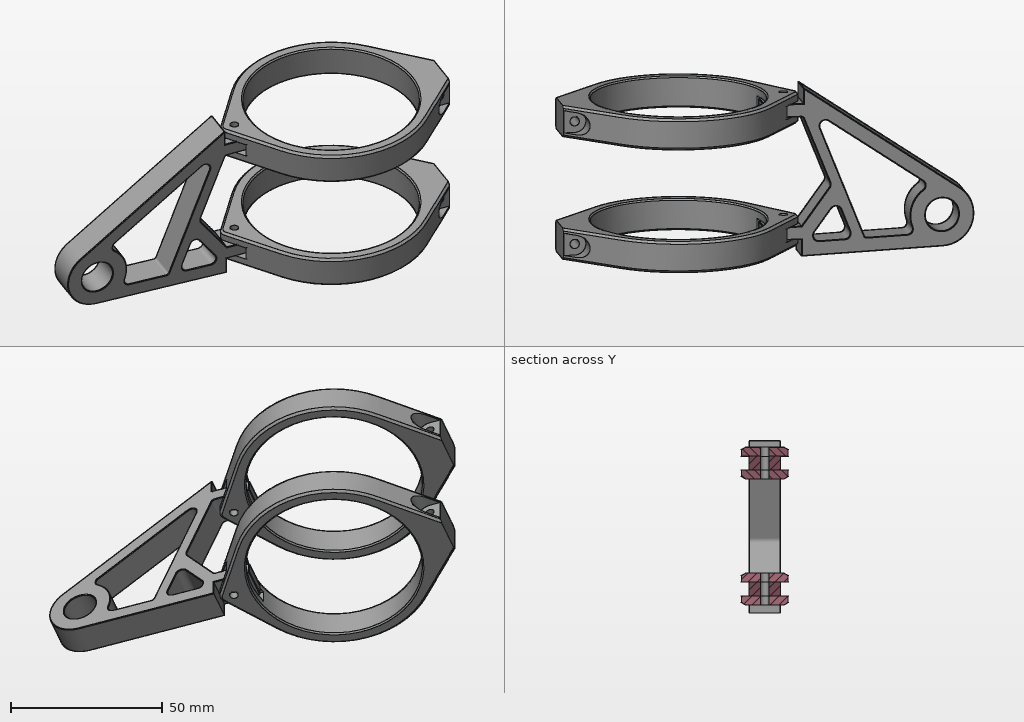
import cadquery as cq
import math

RING_SPACING = 41.6
RING_HEIGHT = 10.6
RING_OUTER_R = 33.35
RING_BORE_R = 29.15
RIM_CHAMFER = 0.8
BORE_CHAMFER = 0.5
TAB_END_Y = 40.0
TAB_END_HALF_WIDTH = 6.8
TAB_ROOT_Y = 24.3
NOSE_SLOPE = math.radians(35)
NOSE_R = 2.8

BOLT_HOLE_D = 3.1
BOLT_Y = 36.2
SPOTFACE_R = 3.75
SPOTFACE_X = 7.0

PIN_HOLE_D = 2.8
PIN_Y = -35.3
SLOT_WIDTH = 16.5
TONGUE_HEIGHT = 4.5
TONGUE_END_Y = -27.9

ARM_WIDTH = 10.5
ARM_EDGE_CHAMFER = 0.25
EYE = (-87.62, 4.2)
EYE_R = 10.75
EYE_HOLE_D = 11.2
ARM_TOP = (-41.1, 49.12)
ARM_BOTTOM = (-40.5, -7.95)
BRACE_ROOT = (-40.9, RING_SPACING - TONGUE_HEIGHT / 2)
STRUT_ROOT = (-40.4, TONGUE_HEIGHT / 2)
ELBOW = (-50.3, 15.8)
BAR_THICKNESS = 4.8
BRACE_THICKNESS = 3.85
STRUT_THICKNESS = 4.8
ELBOW_FILLET = 1.8
ROOT_FILLET = 1.0
WINDOW_FILLET = 1.9
EYE_SIDE_FILLET = 1.8
HEEL_FILLET = 1.0


def tangent_point(point, center, radius, side):
    """Where a line from point touches a circle; side +1 or -1 picks one of the two tangents."""
    dx = point[0] - center[0]
    dy = point[1] - center[1]
    angle = math.atan2(dy, dx) + side * math.acos(radius / math.hypot(dx, dy))
    return (center[0] + radius * math.cos(angle), center[1] + radius * math.sin(angle))


def offset_line(start, end, distance):
    """The line from start to end, moved to its left by distance."""
    length = math.dist(start, end)
    shift_x = -(end[1] - start[1]) / length * distance
    shift_y = (end[0] - start[0]) / length * distance
    return ((start[0] + shift_x, start[1] + shift_y), (end[0] + shift_x, end[1] + shift_y))


def crossing(first, second):
    """Point where two lines, each given by two points, cross."""
    (ax, ay), (bx, by) = first
    (cx, cy), (dx, dy) = second
    ux, uy = bx - ax, by - ay
    vx, vy = dx - cx, dy - cy
    along = ((cx - ax) * vy - (cy - ay) * vx) / (ux * vy - uy * vx)
    return (ax + along * ux, ay + along * uy)



def ring_blank():
    """Solid teardrop: flat-ended tab at +Y, round sides, blunt nose at -Y."""
    tab_root_x = math.sqrt(RING_OUTER_R**2 - TAB_ROOT_Y**2)
    nose_x = RING_OUTER_R * math.sin(NOSE_SLOPE)
    nose_y = -RING_OUTER_R * math.cos(NOSE_SLOPE)
    tip_center_y = -(RING_OUTER_R - NOSE_R) / math.cos(NOSE_SLOPE)
    tip_x = NOSE_R * math.sin(NOSE_SLOPE)
    tip_y = tip_center_y - NOSE_R * math.cos(NOSE_SLOPE)
    blank = (
        cq.Workplane("XY")
        .moveTo(-TAB_END_HALF_WIDTH, TAB_END_Y)
        .lineTo(TAB_END_HALF_WIDTH, TAB_END_Y)
        .lineTo(tab_root_x, TAB_ROOT_Y)
        .threePointArc((RING_OUTER_R, 0), (nose_x, nose_y))
        .lineTo(tip_x, tip_y)
        .threePointArc((0, tip_center_y - NOSE_R), (-tip_x, tip_y))
        .lineTo(-nose_x, nose_y)
        .threePointArc((-RING_OUTER_R, 0), (-tab_root_x, TAB_ROOT_Y))
        .close()
        .extrude(RING_HEIGHT / 2, both=True)
    )
    rims = blank.faces("|Z").edges().filter(lambda edge: edge.Center().y < TAB_END_Y - RIM_CHAMFER)
    return rims.chamfer(RIM_CHAMFER)


def ring_bore():
    """Bore cutter, flared at both ends."""
    half = RING_HEIGHT / 2
    flare_r = RING_BORE_R + BORE_CHAMFER
    return (
        cq.Workplane("XZ")
        .polyline([
            (0, -half),
            (flare_r, -half),
            (RING_BORE_R, BORE_CHAMFER - half),
            (RING_BORE_R, half - BORE_CHAMFER),
            (flare_r, half),
            (0, half),
        ])
        .close()
        .revolve(360, (0, 0), (0, 1))
    )


def bolt_cutter():
    """Bolt hole with a spotface, open toward the tab end, in each flank."""
    cutter = cq.Workplane("YZ").center(BOLT_Y, 0).circle(BOLT_HOLE_D / 2).extrude(RING_OUTER_R, both=True)
    for side in (-1, 1):
        spotface = (
            cq.Workplane("YZ", origin=(side * SPOTFACE_X, BOLT_Y, 0))
            .moveTo(SPOTFACE_R * 2, -SPOTFACE_R)
            .lineTo(0, -SPOTFACE_R)
            .threePointArc((-SPOTFACE_R, 0), (0, SPOTFACE_R))
            .lineTo(SPOTFACE_R * 2, SPOTFACE_R)
            .close()
            .extrude(side * RING_OUTER_R)
        )
        cutter = cutter.union(spotface)
    return cutter


def pin_hole(z):
    return (
        cq.Workplane("XY", origin=(0, PIN_Y, z))
        .circle(PIN_HOLE_D / 2)
        .extrude(RING_HEIGHT / 2, both=True)
    )


def tongue_slot():
    """Slot through the nose, from outside into the bore, wider than the bracket tongue."""
    return (
        cq.Workplane("XY")
        .box(SLOT_WIDTH, RING_OUTER_R * 2, TONGUE_HEIGHT)
        .translate((0, -RING_OUTER_R, 0))
    )


def make_ring(z):
    ring = ring_blank().cut(ring_bore()).cut(bolt_cutter()).cut(tongue_slot()).cut(pin_hole(0))
    return ring.translate((0, 0, z))



TOP_TOUCH = tangent_point(ARM_TOP, EYE, EYE_R, 1)
BOTTOM_TOUCH = tangent_point(ARM_BOTTOM, EYE, EYE_R, -1)

TOP_EDGE = offset_line(ARM_TOP, TOP_TOUCH, BAR_THICKNESS)
BOTTOM_EDGE = offset_line(BOTTOM_TOUCH, ARM_BOTTOM, BAR_THICKNESS)
BRACE_NEAR_EDGE = (ELBOW, BRACE_ROOT)
BRACE_FAR_EDGE = offset_line(ELBOW, BRACE_ROOT, BRACE_THICKNESS)
STRUT_EDGE = offset_line(STRUT_ROOT, ELBOW, STRUT_THICKNESS)


def across_width(outline):
    return outline.extrude(ARM_WIDTH / 2, both=True)


def fillet_at(body, points, radius):
    """Round the edges along X that pass nearest to the given (Y, Z) points."""
    for point in points:
        body = body.edges("|X").edges(cq.selectors.NearestToPointSelector((0, *point))).fillet(radius)
    return body


def arm_blank():
    """Outer shape of the bracket with its two tongues."""
    half = TONGUE_HEIGHT / 2
    blank = across_width(
        cq.Workplane("YZ")
        .moveTo(*ARM_TOP)
        .lineTo(*TOP_TOUCH)
        .threePointArc((EYE[0] - EYE_R, EYE[1]), BOTTOM_TOUCH)
        .lineTo(*ARM_BOTTOM)
        .lineTo(ARM_BOTTOM[0], -half)
        .lineTo(TONGUE_END_Y, -half)
        .lineTo(TONGUE_END_Y, half)
        .lineTo(*STRUT_ROOT)
        .lineTo(*ELBOW)
        .lineTo(*BRACE_ROOT)
        .lineTo(TONGUE_END_Y, RING_SPACING - half)
        .lineTo(TONGUE_END_Y, RING_SPACING + half)
        .lineTo(ARM_TOP[0], RING_SPACING + half)
        .close()
    )
    blank = fillet_at(blank, [ELBOW], ELBOW_FILLET)
    return fillet_at(blank, [BRACE_ROOT], ROOT_FILLET)


def large_window():
    """Window between the top bar, the brace, the bottom bar and the round eye."""
    eye_line = (EYE, (EYE[0], EYE[1] + EYE_R))
    crown = crossing(TOP_EDGE, BRACE_FAR_EDGE)
    heel = crossing(BOTTOM_EDGE, BRACE_FAR_EDGE)
    eye_top = crossing(TOP_EDGE, eye_line)
    eye_bottom = crossing(BOTTOM_EDGE, eye_line)
    window = across_width(cq.Workplane("YZ").polyline([crown, heel, eye_bottom, eye_top]).close())
    window = window.cut(across_width(cq.Workplane("YZ").center(*EYE).circle(EYE_R)))
    window = fillet_at(window, [crown], WINDOW_FILLET)
    window = fillet_at(window, [heel], HEEL_FILLET)
    return fillet_at(window, [eye_top, eye_bottom], EYE_SIDE_FILLET)


def small_window():
    """Triangular window between the strut, the brace and the bottom bar."""
    corners = [
        crossing(STRUT_EDGE, BRACE_NEAR_EDGE),
        crossing(BRACE_NEAR_EDGE, BOTTOM_EDGE),
        crossing(BOTTOM_EDGE, STRUT_EDGE),
    ]
    window = across_width(cq.Workplane("YZ").polyline(corners).close())
    return window.edges("|X").fillet(WINDOW_FILLET)


def make_bracket():
    eye_hole = across_width(cq.Workplane("YZ").center(*EYE).circle(EYE_HOLE_D / 2))
    bracket = arm_blank().cut(large_window()).cut(small_window()).cut(eye_hole)

    side_edges = bracket.faces("<X or >X").edges()
    tip_edge = bracket.edges(">Z")
    tongue_end_edges = bracket.faces(">Y").edges("|X")
    bracket = side_edges.add(tip_edge).add(tongue_end_edges).chamfer(ARM_EDGE_CHAMFER)

    for z in (0, RING_SPACING):
        bracket = bracket.cut(pin_hole(z))
    return bracket


rings = [make_ring(z) for z in (0, RING_SPACING)]
bracket = make_bracket()

result = cq.Compound.makeCompound([*[ring.val() for ring in rings], bracket.val()])